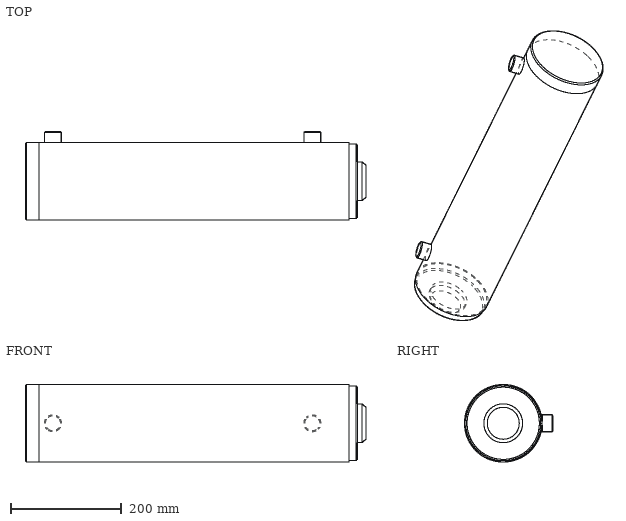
import cadquery as cq

total_length = 615.0
tank_radius = 70.0
cap_length = 24.5
cap_chamfer = 2.5
barrel_end = 584.0
flange_radius = 67.5
flange_end = 599.0
flange_chamfer = 2.5
knob_radius = 35.0
knob_chamfer_length = 7.5
knob_chamfer_depth = 6.0
port_radius = 15.5
port_chamfer = 2.0
port_tip = 90.0
port_positions = (50.0, 518.0)


def disc(radius, start, end):
    """Solid cylinder on the X axis between two X positions."""
    return cq.Workplane("YZ", origin=(start, 0, 0)).circle(radius).extrude(end - start)


def make_end_cap():
    """Closed left end with a chamfered outer rim."""
    return disc(tank_radius, 0, cap_length).faces("<X").edges().chamfer(cap_chamfer)


def make_barrel():
    """Long cylindrical body between the end cap and the flange."""
    return disc(tank_radius, cap_length, barrel_end)


def make_flange():
    """Slightly smaller disc closing the right end of the barrel."""
    return disc(flange_radius, barrel_end, flange_end).faces(">X").edges().chamfer(flange_chamfer)


def make_knob():
    """Round boss on the flange with a chamfered outer rim."""
    rim_radius = knob_radius - knob_chamfer_depth
    chamfer_start = total_length - knob_chamfer_length
    return (
        cq.Workplane("XY")
        .moveTo(flange_end, 0)
        .lineTo(flange_end, knob_radius)
        .lineTo(chamfer_start, knob_radius)
        .lineTo(total_length, rim_radius)
        .lineTo(total_length, 0)
        .close()
        .revolve(360, (0, 0, 0), (1, 0, 0))
    )


def make_port(position):
    """Radial stub toward +Y, its flat foot touching the barrel along its crest."""
    return (
        cq.Workplane("XZ", origin=(position, port_tip, 0))
        .circle(port_radius)
        .extrude(port_tip - tank_radius)
        .faces(">Y")
        .edges()
        .chamfer(port_chamfer)
    )


end_cap = make_end_cap()
barrel = make_barrel()
flange = make_flange()
knob = make_knob()
ports = [make_port(position) for position in port_positions]

result = cq.Compound.makeCompound(
    [
        end_cap.val(),
        barrel.val(),
        flange.val(),
        knob.val(),
        *[port.val() for port in ports],
    ]
)